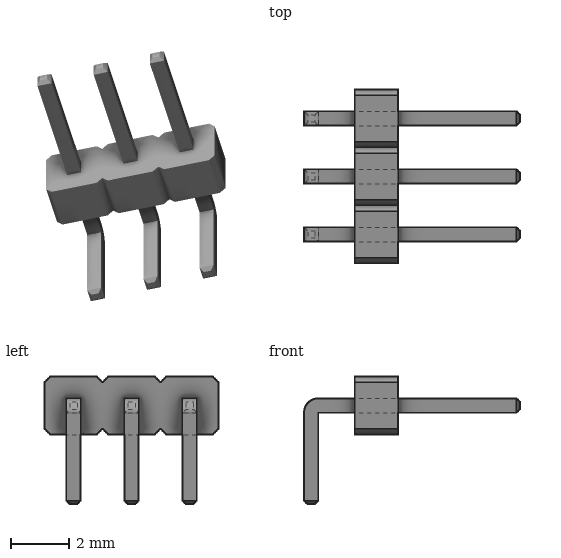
import cadquery as cq

pin_count = 3
housing_length = 6.0
pitch = housing_length / pin_count

housing_depth = 1.5
housing_height = pitch
housing_start = 1.75
housing_chamfer = 0.2

pin_width = 0.5
pin_reach = 7.45
leg_drop = 3.65
bend_radius = pin_width
tip_chamfer = 0.13

pin_top = pin_width / 2
leg_bottom = pin_top - leg_drop
pin_positions = [(i - (pin_count - 1) / 2) * pitch for i in range(pin_count)]


def make_passage(y):
    """Square bar along X that fills the pin passage through the housing."""
    return cq.Workplane("XY").box(housing_depth, pin_width, pin_width).translate(
        (housing_start + housing_depth / 2, y, 0)
    )


def make_housing():
    """Strip of chamfered blocks, one per pin, with a square passage in each."""
    housing = None
    for y in pin_positions:
        block = (
            cq.Workplane("XY")
            .box(housing_depth, pitch, housing_height)
            .edges("|X")
            .chamfer(housing_chamfer)
            .translate((housing_start + housing_depth / 2, y, 0))
        )
        housing = block if housing is None else housing.union(block)
    for y in pin_positions:
        housing = housing.cut(make_passage(y))
    return housing


def make_pin(y):
    """Square pin bent down by 90 degrees, round outside the bend and sharp inside."""
    pin = (
        cq.Workplane("XZ")
        .moveTo(0, leg_bottom)
        .lineTo(0, pin_top - bend_radius)
        .radiusArc((bend_radius, pin_top), bend_radius)
        .lineTo(pin_reach, pin_top)
        .lineTo(pin_reach, -pin_top)
        .lineTo(pin_width, -pin_top)
        .lineTo(pin_width, leg_bottom)
        .close()
        .extrude(pin_width / 2, both=True)
    )
    pin = pin.faces(">X").chamfer(tip_chamfer)
    pin = pin.faces("<Z").chamfer(tip_chamfer)
    return pin.translate((0, y, 0))


housing = make_housing()
pins = [make_pin(y) for y in pin_positions]

result = cq.Compound.makeCompound([housing.val(), *[pin.val() for pin in pins]])